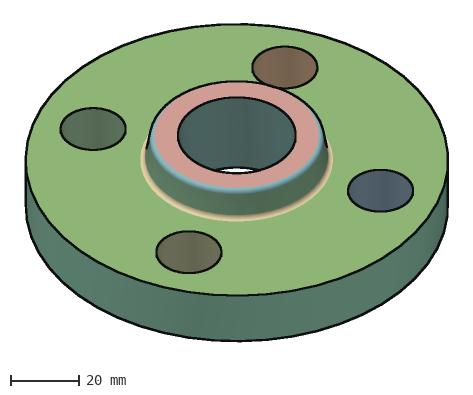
import cadquery as cq
import math

flange_diameter = 123.9
flange_thickness = 17.5

total_height = 26.9
hub_base_diameter = 54.0
hub_draft_angle = 10.0
hub_root_fillet = 1.5
hub_top_fillet = 1.5

bore_diameter = 34.6
bolt_circle_diameter = 88.9
bolt_hole_diameter = 19.1
bolt_hole_count = 4

hub_height = total_height - flange_thickness
hub_top_diameter = hub_base_diameter - 2 * hub_height * math.tan(math.radians(hub_draft_angle))


def make_flange():
    return cq.Workplane("XY").circle(flange_diameter / 2).extrude(flange_thickness)


def add_hub(body):
    """Add the conical hub and round its root and its top rim."""
    hub = cq.Workplane(
        cq.Solid.makeCone(
            hub_base_diameter / 2,
            hub_top_diameter / 2,
            hub_height,
            pnt=cq.Vector(0, 0, flange_thickness),
        )
    )
    body = body.union(hub)
    body = body.faces(">Z").edges().fillet(hub_top_fillet)
    root_edge = cq.selectors.RadiusNthSelector(-2)
    return body.edges("%CIRCLE").edges(root_edge).fillet(hub_root_fillet)


def cut_bore(body):
    bore = cq.Workplane("XY").circle(bore_diameter / 2).extrude(total_height)
    return body.cut(bore)


def cut_bolt_holes(body):
    holes = (
        cq.Workplane("XY")
        .polarArray(bolt_circle_diameter / 2, 0, 360, bolt_hole_count)
        .circle(bolt_hole_diameter / 2)
        .extrude(flange_thickness)
    )
    return body.cut(holes)


result = cut_bolt_holes(cut_bore(add_hub(make_flange())))